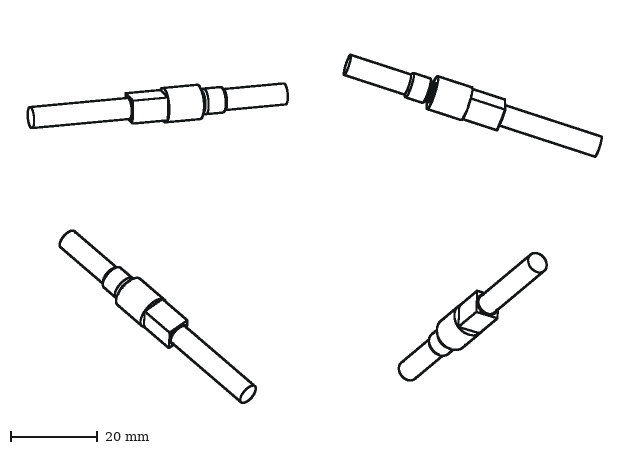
import cadquery as cq

length = 61.6
front_end = -length / 2
back_end = length / 2

cable_diameter = 4.9
body_diameter = 8.0
collar_diameter = 6.0
neck_diameter = 4.5
neck_lip_diameter = 4.75
entry_diameter = 5.3

square_side = 5.6
square_turn = 2.5

square_front = -6.95
body_front = 1.55
body_back = 9.9
collar_front = 11.4
collar_back = 15.5
collar_shoulder = collar_back + (collar_diameter - cable_diameter) / 2

entry_length = (entry_diameter - cable_diameter) / 2
neck_lip_length = 0.25
collar_taper_length = 0.55


def ring(diameter, start, end):
    """Cylinder on the Y axis between two places."""
    profile = cq.Workplane("XZ", origin=(0, start, 0)).circle(diameter / 2)
    return profile.extrude(start - end)


def make_entry():
    """Short 45 degree cone where the front cable meets the square."""
    half_profile = [
        (0, square_front),
        (entry_diameter / 2, square_front),
        (cable_diameter / 2, square_front - entry_length),
        (0, square_front - entry_length),
    ]
    return cq.Workplane("XY").polyline(half_profile).close().revolve(360, (0, 0), (0, 1))


def make_square():
    profile = cq.Workplane("XZ", origin=(0, square_front, 0))
    square = profile.rect(square_side, square_side).extrude(square_front - body_front)
    return square.rotate((0, 0, 0), (0, 1, 0), square_turn)


def make_collar():
    """Grooved neck and collar, turned about the Y axis."""
    taper_front = collar_front - collar_taper_length
    neck_back = taper_front - neck_lip_length
    neck_front = body_back + neck_lip_length
    half_profile = [
        (0, body_back),
        (neck_lip_diameter / 2, body_back),
        (neck_diameter / 2, neck_front),
        (neck_diameter / 2, neck_back),
        (neck_lip_diameter / 2, taper_front),
        (collar_diameter / 2, collar_front),
        (collar_diameter / 2, collar_back),
        (cable_diameter / 2, collar_shoulder),
        (0, collar_shoulder),
    ]
    return cq.Workplane("XY").polyline(half_profile).close().revolve(360, (0, 0), (0, 1))


result = (
    ring(cable_diameter, front_end, square_front)
    .union(make_entry())
    .union(make_square())
    .union(ring(body_diameter, body_front, body_back))
    .union(make_collar())
    .union(ring(cable_diameter, collar_shoulder, back_end))
)